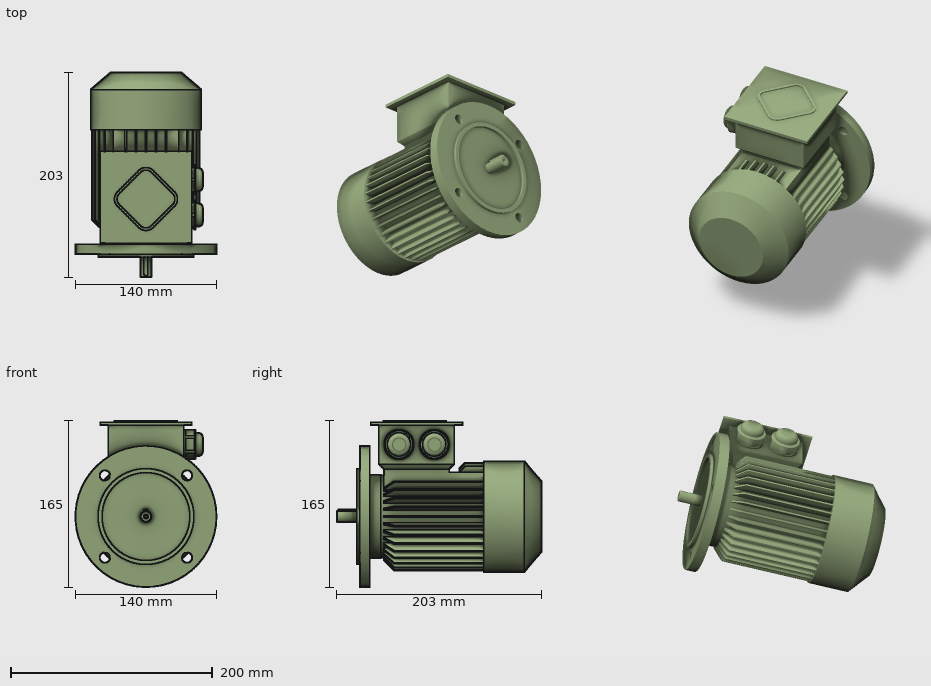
import cadquery as cq
import math


FLANGE_THICKNESS = 10.0
NECK_END = 21.0
BODY_FRONT = 24.0
COWL_FRONT = 123.0
COWL_CONE_START = 163.0
MOTOR_BACK = 180.0

FLANGE_DIAMETER = 140.0
SPIGOT_DIAMETER = 95.0
SPIGOT_HEIGHT = 3.0
SPIGOT_RECESS_DIAMETER = 87.0
HOLE_DIAMETER = 10.0
HOLE_CIRCLE_DIAMETER = 115.0
HOLE_COUNT = 4
FIRST_HOLE_ANGLE = 45.0

NECK_DIAMETER = 83.0
BODY_DIAMETER = 82.0
COWL_DIAMETER = 110.0
COWL_BACK_DIAMETER = 70.0

SHAFT_DIAMETER = 11.0
SHAFT_LENGTH = 23.0
SHAFT_CHAMFER = 0.5
CENTRE_HOLE_DIAMETER = 3.24
CENTRE_HOLE_DEPTH = 6.0
CENTRE_SINK_DIAMETER = 4.5
KEY_WIDTH = 4.0
KEY_TOP = 7.0
KEY_END_GAP = 1.5

FIN_RADIUS = 53.5
FIN_THICKNESS = 1.5
FIN_STEP_ANGLE = 10.0
FIN_FRONT_CHAMFER = 10.0
LAST_SIDE_FIN = 4
TOP_FIN_OFFSETS = (-20.0, -10.0, 0.0, 10.0, 20.0)
TOP_FIN_FRONT = 98.3
TOP_FIN_CHAMFER = 6.0

BOX_CENTRE_Y = 56.3
BOX_SIZE = 75.0
BOX_INSET = 5.0
PAD_WIDTH = BOX_SIZE - 2 * BOX_INSET
PAD_TOP = 44.0
BOX_NECK_TOP = 47.0
BOX_TAPER_TOP = BOX_NECK_TOP + BOX_INSET
LID_SIZE = 91.0
LID_BOTTOM = 90.4
LID_TOP = 93.6

FRAME_TOP = 95.0
FRAME_CENTRE_Y = 54.6
FRAME_SIZE = 50.0
FRAME_CORNER_RADIUS = 10.0
FRAME_WIDTH = 2.5

GLAND_SPACING = 35.0
GLAND_Z = 71.4
GLAND_NUT_DIAMETER = 29.5
GLAND_NUT_SIDES = 6
GLAND_NUT_FLATS = 27.0
GLAND_NUT_LENGTH = 12.0
GLAND_NUT_CHAMFER = 1.0
GLAND_FLATS_START = 1.9
GLAND_FLATS_END = 10.2
GLAND_CAP_DIAMETER = 23.26
GLAND_CAP_LENGTH = 7.0
GLAND_CAP_FILLET = 5.0


def cylinder_y(diameter, y_start, y_end):
    """Cylinder on the shaft axis between two stations."""
    plane = cq.Workplane("XZ", origin=(0, y_start, 0))
    return plane.circle(diameter / 2).extrude(y_start - y_end)


def block(width, y_start, y_end, z_bottom, z_top):
    """Box centred on x = 0."""
    size = (width, y_end - y_start, z_top - z_bottom)
    centre = (0, (y_start + y_end) / 2, (z_bottom + z_top) / 2)
    return cq.Workplane("XY").box(*size).translate(centre)


def make_body():
    core = cylinder_y(BODY_DIAMETER, NECK_END, COWL_FRONT)
    neck = cylinder_y(NECK_DIAMETER, FLANGE_THICKNESS, NECK_END)
    return core.union(neck)


def make_cowl():
    profile = (
        cq.Workplane("XY")
        .moveTo(0, COWL_FRONT)
        .lineTo(COWL_DIAMETER / 2, COWL_FRONT)
        .lineTo(COWL_DIAMETER / 2, COWL_CONE_START)
        .lineTo(COWL_BACK_DIAMETER / 2, MOTOR_BACK)
        .lineTo(0, MOTOR_BACK)
        .close()
    )
    return profile.revolve(360, (0, 0, 0), (0, 1, 0))


def make_flange():
    flange = cylinder_y(FLANGE_DIAMETER, 0, FLANGE_THICKNESS)
    holes = (
        cq.Workplane("XZ")
        .polarArray(HOLE_CIRCLE_DIAMETER / 2, FIRST_HOLE_ANGLE, 360, HOLE_COUNT)
        .circle(HOLE_DIAMETER / 2)
        .extrude(-FLANGE_THICKNESS)
    )
    spigot = cylinder_y(SPIGOT_DIAMETER, -SPIGOT_HEIGHT, 0)
    recess = cylinder_y(SPIGOT_RECESS_DIAMETER, -SPIGOT_HEIGHT, 0)
    return flange.cut(holes).union(spigot.cut(recess))


def make_shaft():
    shaft = cylinder_y(SHAFT_DIAMETER, -SHAFT_LENGTH, 0)
    shaft = shaft.faces("<Y").chamfer(SHAFT_CHAMFER)
    key = (
        cq.Workplane("XY", origin=(0, -SHAFT_LENGTH / 2, 0))
        .slot2D(SHAFT_LENGTH - 2 * KEY_END_GAP, KEY_WIDTH, 90)
        .extrude(KEY_TOP)
    )
    centre_hole = cylinder_y(CENTRE_HOLE_DIAMETER, -SHAFT_LENGTH, CENTRE_HOLE_DEPTH - SHAFT_LENGTH)
    sink_depth = (CENTRE_SINK_DIAMETER - CENTRE_HOLE_DIAMETER) / 2
    sink = (
        cq.Workplane("XZ", origin=(0, -SHAFT_LENGTH, 0))
        .circle(CENTRE_SINK_DIAMETER / 2)
        .extrude(-sink_depth, taper=45)
    )
    return shaft.union(key).cut(centre_hole).cut(sink)


def make_fin(tip_radius, front, chamfer, offset=0.0):
    """Upright fin above the shaft axis with its front corner cut at 45 degrees."""
    return (
        cq.Workplane("YZ", origin=(offset - FIN_THICKNESS / 2, 0, 0))
        .moveTo(front, 0)
        .lineTo(front, tip_radius - chamfer)
        .lineTo(front + chamfer, tip_radius)
        .lineTo(COWL_FRONT, tip_radius)
        .lineTo(COWL_FRONT, 0)
        .close()
        .extrude(FIN_THICKNESS)
    )


def add_fins(motor):
    first_angle = 90 - LAST_SIDE_FIN * FIN_STEP_ANGLE
    fin_count = int((360 - 2 * first_angle) / FIN_STEP_ANGLE) + 1
    fin = make_fin(FIN_RADIUS, BODY_FRONT, FIN_FRONT_CHAMFER)
    for index in range(fin_count):
        angle = first_angle + index * FIN_STEP_ANGLE
        motor = motor.union(fin.rotate((0, 0, 0), (0, 1, 0), angle))
    for offset in TOP_FIN_OFFSETS:
        tip_height = math.sqrt(FIN_RADIUS**2 - offset**2)
        motor = motor.union(make_fin(tip_height, TOP_FIN_FRONT, TOP_FIN_CHAMFER, offset))
    return motor


def make_terminal_box():
    half_pad = PAD_WIDTH / 2
    half_box = BOX_SIZE / 2
    half_lid = LID_SIZE / 2
    pad = block(PAD_WIDTH, BODY_FRONT, COWL_FRONT, 0, PAD_TOP)
    neck = block(PAD_WIDTH, BODY_FRONT, BOX_CENTRE_Y + half_pad, 0, BOX_NECK_TOP)
    taper = (
        cq.Workplane("XY", origin=(0, BOX_CENTRE_Y, BOX_NECK_TOP))
        .rect(PAD_WIDTH, PAD_WIDTH)
        .workplane(offset=BOX_INSET)
        .rect(BOX_SIZE, BOX_SIZE)
        .loft(ruled=True)
    )
    box = block(BOX_SIZE, BOX_CENTRE_Y - half_box, BOX_CENTRE_Y + half_box, BOX_TAPER_TOP, LID_BOTTOM)
    lid = block(LID_SIZE, BOX_CENTRE_Y - half_lid, BOX_CENTRE_Y + half_lid, LID_BOTTOM, LID_TOP)
    return pad.union(neck).union(taper).union(box).union(lid).union(make_lid_frame())


def rounded_square(size, corner_radius):
    square = cq.Workplane("XY").rect(size, size).extrude(FRAME_TOP - LID_TOP)
    return square.edges("|Z").fillet(corner_radius)


def make_lid_frame():
    """Raised rounded square outline, turned 45 degrees on the lid."""
    outer = rounded_square(FRAME_SIZE, FRAME_CORNER_RADIUS)
    inner = rounded_square(FRAME_SIZE - 2 * FRAME_WIDTH, FRAME_CORNER_RADIUS - FRAME_WIDTH)
    frame = outer.cut(inner).rotate((0, 0, 0), (0, 0, 1), 45)
    return frame.translate((0, FRAME_CENTRE_Y, LID_TOP))


def make_gland():
    """Cable gland along +X, starting at x = 0: chamfered nut with six flats, then a domed cap."""
    nut = cq.Workplane("YZ").circle(GLAND_NUT_DIAMETER / 2).extrude(GLAND_NUT_LENGTH)
    nut = nut.faces(">X").chamfer(GLAND_NUT_CHAMFER)
    flats_length = GLAND_FLATS_END - GLAND_FLATS_START
    corner_diameter = GLAND_NUT_FLATS / math.cos(math.pi / GLAND_NUT_SIDES)
    flats_plane = cq.Workplane("YZ", origin=(GLAND_FLATS_START, 0, 0))
    hexagon_plane = flats_plane.transformed(rotate=(0, 0, 90))
    hexagon = hexagon_plane.polygon(GLAND_NUT_SIDES, corner_diameter).extrude(flats_length)
    waste = flats_plane.circle(GLAND_NUT_DIAMETER).extrude(flats_length).cut(hexagon)
    cap = (
        cq.Workplane("YZ", origin=(GLAND_NUT_LENGTH, 0, 0))
        .circle(GLAND_CAP_DIAMETER / 2)
        .extrude(GLAND_CAP_LENGTH)
        .faces(">X")
        .edges()
        .fillet(GLAND_CAP_FILLET)
    )
    return nut.cut(waste).union(cap)


def add_glands(motor):
    gland = make_gland()
    for side in (-1, 1):
        gland_y = BOX_CENTRE_Y + side * GLAND_SPACING / 2
        motor = motor.union(gland.translate((BOX_SIZE / 2, gland_y, GLAND_Z)))
    return motor


motor = make_body().union(make_cowl()).union(make_flange()).union(make_shaft())
motor = add_fins(motor)
motor = motor.union(make_terminal_box())
result = add_glands(motor)